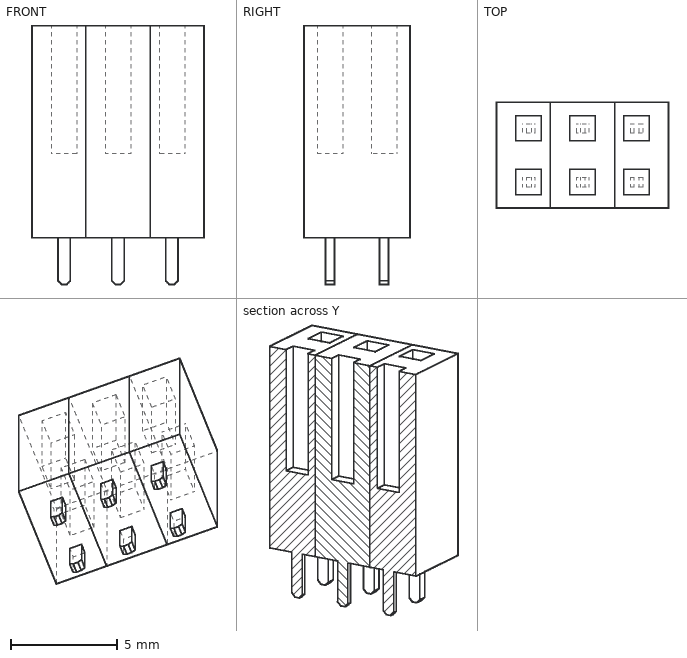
import cadquery as cq

pitch = 2.54
module_count = 3
module_width = 3.05
depth = 5.0
total_height = 12.2
pin_length = 2.2
housing_height = total_height - pin_length

seam_width = module_width - pitch
core_width = module_width - 2 * seam_width

socket_side = 1.2
socket_depth = 6.0

pin_width = 0.6
pin_thickness = 0.44
tip_chamfer = 0.18

row_positions = [(0, -pitch / 2), (0, pitch / 2)]


def block(x_start, x_end):
    """Full-depth housing block between two X positions, standing on Z = 0."""
    return cq.Workplane("XY").box(
        x_end - x_start, depth, housing_height, centered=(False, True, False)
    ).translate((x_start, 0, 0))


def sockets():
    """Blind square openings of one module, one per row."""
    return (
        cq.Workplane("XY", origin=(0, 0, housing_height))
        .pushPoints(row_positions)
        .rect(socket_side, socket_side)
        .extrude(-socket_depth)
    )


def pins():
    """The two pins of one module, below the housing."""
    pin = (
        cq.Workplane("XY")
        .rect(pin_width, pin_thickness)
        .extrude(-pin_length)
        .faces("<Z")
        .edges("|Y")
        .chamfer(tip_chamfer)
    )
    front, back = [pin.translate((x, y, 0)) for x, y in row_positions]
    return front.add(back)


def socket_module(index):
    """One housing module with its sockets and pins, centred on its own column."""
    has_left_neighbour = index > 0
    has_right_neighbour = index < module_count - 1
    is_inner = has_left_neighbour and has_right_neighbour

    half_width = module_width / 2
    half_core = core_width / 2
    if is_inner:
        body = block(-half_core, half_core)
        body = body.union(block(-half_width, -half_core), clean=False)
        body = body.union(block(half_core, half_width), clean=False)
    elif has_right_neighbour:
        body = block(-half_width, half_core)
    else:
        body = block(-half_core, half_width)

    body = body.cut(sockets(), clean=False)
    for pin in pins().vals():
        body = body.union(cq.Workplane(pin), clean=False)

    column_x = (index - (module_count - 1) / 2) * pitch
    return body.translate((column_x, 0, 0))


modules = [socket_module(index) for index in range(module_count)]

result = cq.Compound.makeCompound([module.solids().val() for module in modules])